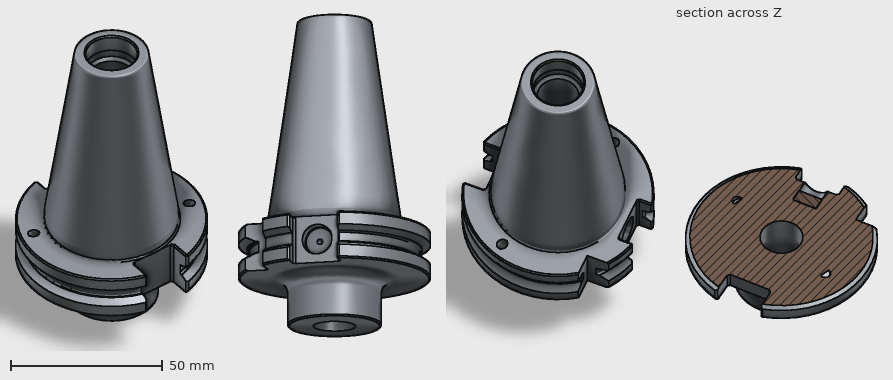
import cadquery as cq
import math

gauge_diameter = 44.45
taper_ratio = 7 / 24
taper_length = 68.25
overall_height = 103.25
taper_end_fillet = 1.0

flange_diameter = 63.5
flange_thickness = 15.875
flange_top_z = -3.175
flange_chamfer = 0.5
neck_fillet = 0.6

groove_floor_diameter = 56.25
groove_floor_half_width = 1.95
groove_mouth_half_width = 3.5
groove_flank_angle = 30
groove_fillet = 0.5

boss_diameter = 31.0
boss_fillet = 5.0
boss_chamfer = 0.5

bore_diameter = 14.0
entry_diameter = 17.0
entry_depth = 6.0
entry_chamfer = 0.5
socket_diameter = 16.8
socket_depth = 8.6
socket_point_angle = 118

slot_half_width = 8.05
slot_floor_chamfer = 0.8
slot_lip_half_width = 8.9
slot_lip_depth = 0.5
slot_rim_chamfer = 0.5
left_slot_floor = 25.0
right_slot_floor = 22.6

notch_offset = 18.3

coolant_diameter = 3.4
coolant_radius = 26.9
coolant_angle = 69.7
coolant_tilt = 27
coolant_depth = 12.0

chip_diameter = 10.0
chip_thickness = 4.5
chip_recess = 4.0
chip_chamfer = 0.3
chip_dimple_diameter = 1.8

cutter_overshoot = 2.0

taper_end_z = taper_length
base_z = taper_end_z - overall_height
flange_bottom_z = flange_top_z - flange_thickness
flange_mid_z = (flange_top_z + flange_bottom_z) / 2

gauge_radius = gauge_diameter / 2
taper_end_radius = (gauge_diameter - taper_length * taper_ratio) / 2
flange_radius = flange_diameter / 2
boss_radius = boss_diameter / 2
cos_45 = math.sqrt(0.5)


def revolve_about_z(profile):
    return profile.close().revolve(360, (0, 0, 0), (0, 1, 0))


def make_blank():
    """Taper, flange and boss turned as one solid, without the bore or the groove."""
    neck_arc_drop = neck_fillet * (1 - cos_45)
    boss_arc_drop = boss_fillet * (1 - cos_45)
    profile = (
        cq.Workplane("XZ")
        .moveTo(0, taper_end_z)
        .lineTo(taper_end_radius, taper_end_z)
        .lineTo(gauge_radius, 0)
        .lineTo(gauge_radius, flange_top_z + neck_fillet)
        .threePointArc(
            (gauge_radius + neck_arc_drop, flange_top_z + neck_arc_drop),
            (gauge_radius + neck_fillet, flange_top_z),
        )
        .lineTo(flange_radius - flange_chamfer, flange_top_z)
        .lineTo(flange_radius, flange_top_z - flange_chamfer)
        .lineTo(flange_radius, flange_bottom_z + flange_chamfer)
        .lineTo(flange_radius - flange_chamfer, flange_bottom_z)
        .lineTo(boss_radius + boss_fillet, flange_bottom_z)
        .threePointArc(
            (boss_radius + boss_arc_drop, flange_bottom_z - boss_arc_drop),
            (boss_radius, flange_bottom_z - boss_fillet),
        )
        .lineTo(boss_radius, base_z + boss_chamfer)
        .lineTo(boss_radius - boss_chamfer, base_z)
        .lineTo(0, base_z)
    )
    return revolve_about_z(profile).faces(">Z").edges().fillet(taper_end_fillet)


def make_groove_cutter():
    """V-mouthed gripper groove with a narrower straight floor and rounded floor corners."""
    floor_radius = groove_floor_diameter / 2
    flank_rise = groove_mouth_half_width - groove_floor_half_width
    flank_foot_radius = flange_radius - flank_rise / math.tan(math.radians(groove_flank_angle))
    fillet_end_radius = floor_radius + groove_fillet
    fillet_end_height = groove_floor_half_width - groove_fillet
    arc_inset = groove_fillet * (1 - cos_45)
    arc_mid_radius = floor_radius + arc_inset
    arc_mid_height = groove_floor_half_width - arc_inset
    outside_radius = flange_radius + cutter_overshoot
    profile = (
        cq.Workplane("XZ", origin=(0, 0, flange_mid_z))
        .moveTo(outside_radius, groove_mouth_half_width)
        .lineTo(flange_radius, groove_mouth_half_width)
        .lineTo(flank_foot_radius, groove_floor_half_width)
        .lineTo(fillet_end_radius, groove_floor_half_width)
        .threePointArc((arc_mid_radius, arc_mid_height), (floor_radius, fillet_end_height))
        .lineTo(floor_radius, -fillet_end_height)
        .threePointArc((arc_mid_radius, -arc_mid_height), (fillet_end_radius, -groove_floor_half_width))
        .lineTo(flank_foot_radius, -groove_floor_half_width)
        .lineTo(flange_radius, -groove_mouth_half_width)
        .lineTo(outside_radius, -groove_mouth_half_width)
    )
    return revolve_about_z(profile)


def make_bore_cutter():
    """Through bore, widened at the taper end by a stepped socket with a conical bottom."""
    bore_radius = bore_diameter / 2
    entry_radius = entry_diameter / 2
    socket_radius = socket_diameter / 2
    cone_height = (socket_radius - bore_radius) / math.tan(math.radians(socket_point_angle / 2))
    profile = (
        cq.Workplane("XZ")
        .moveTo(0, taper_end_z)
        .lineTo(entry_radius + entry_chamfer, taper_end_z)
        .lineTo(entry_radius, taper_end_z - entry_chamfer)
        .lineTo(entry_radius, taper_end_z - entry_depth)
        .lineTo(socket_radius, taper_end_z - entry_depth)
        .lineTo(socket_radius, taper_end_z - socket_depth)
        .lineTo(bore_radius, taper_end_z - socket_depth - cone_height)
        .lineTo(bore_radius, base_z)
        .lineTo(0, base_z)
    )
    return revolve_about_z(profile)


def make_slot_cutter(floor):
    """Drive slot open towards +X, with its floor at X = floor and a chamfer on its upper rim."""
    lip_outer_x = math.sqrt(flange_radius**2 - slot_lip_half_width**2)
    lip_inner_x = lip_outer_x - slot_lip_depth
    lip_slope = (slot_lip_half_width - slot_half_width) / slot_lip_depth
    mouth_x = flange_radius + cutter_overshoot
    mouth_half_width = slot_half_width + (mouth_x - lip_inner_x) * lip_slope
    upper_side = [
        (floor, slot_half_width - slot_floor_chamfer),
        (floor + slot_floor_chamfer, slot_half_width),
        (lip_inner_x, slot_half_width),
        (mouth_x, mouth_half_width),
    ]
    lower_side = [(x, -y) for x, y in reversed(upper_side)]
    outline = upper_side + lower_side
    channel = (
        cq.Workplane("XY", origin=(0, 0, flange_bottom_z))
        .polyline(outline)
        .close()
        .extrude(flange_thickness)
    )
    rim = (
        cq.Workplane("XY", origin=(0, 0, flange_top_z - slot_rim_chamfer))
        .polyline(outline)
        .close()
        .extrude(slot_rim_chamfer, taper=-45)
    )
    outside_floor = cq.Workplane("XY").box(
        flange_diameter, flange_diameter, overall_height, centered=(False, True, True)
    ).translate((floor, 0, 0))
    return channel.union(rim.intersect(outside_floor))


def make_notch_cutter():
    """Square orientation notch through the -X, +Y corner of the flange."""
    size = flange_radius - notch_offset
    corner = (-flange_radius, notch_offset, flange_bottom_z)
    return cq.Workplane("XY", origin=corner).box(size, size, flange_thickness, centered=False)


def make_coolant_cutter(angle):
    """Blind coolant hole that starts on the flange's upper face and leans in towards the axis."""
    tilt = math.radians(coolant_tilt)
    direction = cq.Vector(-math.sin(tilt), 0, -math.cos(tilt))
    mouth = cq.Vector(coolant_radius, 0, flange_top_z)
    hole = cq.Solid.makeCylinder(
        coolant_diameter / 2,
        coolant_depth + cutter_overshoot,
        mouth - direction * cutter_overshoot,
        direction,
    )
    return cq.Workplane(obj=hole).rotate((0, 0, 0), (0, 0, 1), angle)


def make_chip_pocket():
    """Round pocket in the floor of the -X slot: open recess first, chip behind it."""
    return (
        cq.Workplane("YZ", origin=(-left_slot_floor, 0, flange_mid_z))
        .circle(chip_diameter / 2)
        .extrude(chip_recess + chip_thickness)
    )


def make_holder():
    holder = make_blank().cut(make_groove_cutter()).cut(make_bore_cutter())
    holder = holder.cut(make_slot_cutter(right_slot_floor))
    holder = holder.cut(make_slot_cutter(left_slot_floor).rotate((0, 0, 0), (0, 0, 1), 180))
    holder = holder.cut(make_notch_cutter())
    for angle in (coolant_angle, coolant_angle + 180):
        holder = holder.cut(make_coolant_cutter(angle))
    return holder.cut(make_chip_pocket())


def make_chip():
    """Data chip: a disc with a chamfered front edge and a small conical dimple."""
    front_x = -left_slot_floor + chip_recess
    disc = (
        cq.Workplane("YZ", origin=(front_x, 0, flange_mid_z))
        .circle(chip_diameter / 2)
        .extrude(chip_thickness)
        .faces("<X")
        .chamfer(chip_chamfer)
    )
    dimple_radius = chip_dimple_diameter / 2
    dimple = cq.Solid.makeCone(
        dimple_radius, 0, dimple_radius, cq.Vector(front_x, 0, flange_mid_z), cq.Vector(1, 0, 0)
    )
    return disc.cut(cq.Workplane(obj=dimple))


holder = make_holder()
chip = make_chip()
result = cq.Compound.makeCompound([holder.val(), chip.val()])